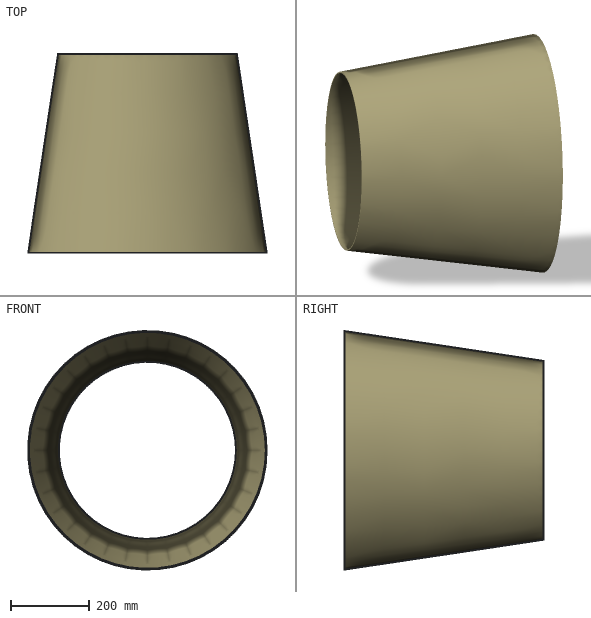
import cadquery as cq

large_outer_diameter = 609.6
small_outer_diameter = 457.2
length = 508.0
wall = 3.0

large_radius = large_outer_diameter / 2
small_radius = small_outer_diameter / 2


def reducer_shell():
    """Conical shell along Y, large open end at Y = 0, small open end at Y = length."""
    wall_section = (
        cq.Workplane("XY")
        .moveTo(large_radius - wall, 0)
        .lineTo(large_radius, 0)
        .lineTo(small_radius, length)
        .lineTo(small_radius - wall, length)
        .close()
    )
    return wall_section.revolve(360, (0, 0, 0), (0, 1, 0))


result = reducer_shell()